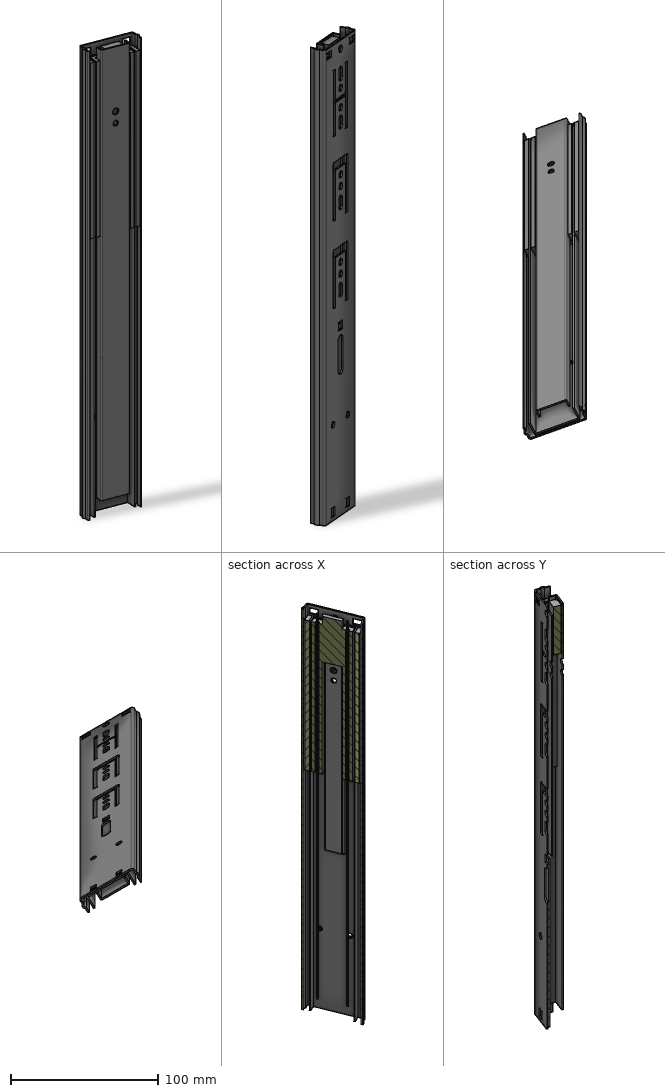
import cadquery as cq
import math


LENGTH = 350.0
THICKNESS = 12.5
WIDTH = 45.0
SHEET = 1.2

BACK = -THICKNESS / 2
FRONT = THICKNESS / 2
TOP = LENGTH / 2
BOTTOM = -LENGTH / 2

BEAD_RISE = 1.0
BEAD_CHORD = 4.2
OUTER_HALF = WIDTH / 2 - BEAD_RISE
OUTER_FRONT = 5.5
OUTER_BEND = 1.8
LIP_ROUNDING = 1.0
BEAD_RADIUS = (BEAD_RISE**2 + (BEAD_CHORD / 2) ** 2) / (2 * BEAD_RISE)
BEAD_Y = WIDTH / 2 - BEAD_RADIUS

MIDDLE_TOP = 166.2
MIDDLE_BOTTOM = -174.0
MIDDLE_BACK = -5.0
MIDDLE_FRONT = 5.2
MIDDLE_HALF = 16.8
MIDDLE_BEND = 1.0
TROUGH_HALF = 7.5
TROUGH_DEPTH = 2.0
TROUGH_SLOPE = 1.5
TROUGH_BOTTOM = -34.3
MIDDLE_HOLE = 4.2
MIDDLE_HOLE_Y = 11.2
MIDDLE_HOLE_DEPTH = MIDDLE_BACK + SHEET - BACK

INNER_TOP = 174.0
INNER_BOTTOM = -162.5
INNER_BACK = 0.5
INNER_HALF = 11.5
INNER_BEND = 1.0

CAGE_BOTTOM = 35.0
CAGE_FRONT = 5.5
OUTER_CAGE_BACK = -4.5
OUTER_CAGE_OUTSIDE = 20.0
RIB_TIP = 21.0
RIB_HALF = 0.7
ARM_INSIDE = 12.2
ARM_OUTSIDE = 15.0
LEG_OUTSIDE = 9.8
SPINE_BACK = -2.8
SPINE_FRONT = 0.0
BLOCK_HALF = 7.5
BLOCK_BACK = -1.5
BLOCK_FRONT = 4.5
BLOCK_TOP = 173.2
BLOCK_BOTTOM = 133.0

HOLE = 5.0
ROUND_HOLES = (168.7, 140.0)
ACCESS_HOLE_Z = 125.5
LOW_ACCESS_HOLE_Z = 117.0
LOW_ACCESS_HOLE = 4.2
ACCESS_SLOT_Z = 114.8
ACCESS_SLOT_LENGTH = 9.8
TAB_SLOT_LENGTH = 10.5
TOP_SLOT_Z = 150.5

DOUBLE_TAB_TOP = 156.0
DOUBLE_TAB_BOTTOM = 107.5
DOUBLE_TAB_GAP_Z = 132.5
DOUBLE_TAB_GAP = 2.0
DOUBLE_TAB_HALF = 9.5

TAB_HALF = 7.0
TAB_TOPS = (88.2, 23.8)
TAB_LENGTH = 43.0
TAB_TIP_GAP = 6.3
TAB_SLIT_HALF = 10.5
TAB_CORNER = 1.8
TAB_HOLE_DROPS = (12.0, 20.5)
TAB_SLOT_DROP = 32.5

CORNER_WINDOW_Y = 15.8
CORNER_WINDOW_Z = 169.8
CORNER_WINDOW_WIDTH = 6.3
CORNER_WINDOW_HEIGHT = 5.0
CENTRE_WINDOW_Z = -35.0
CENTRE_WINDOW_WIDTH = 5.2
CENTRE_WINDOW_HEIGHT = 6.3
LONG_SLOT_Z = -56.5
LONG_SLOT_LENGTH = 28.7
LONG_SLOT_WIDTH = 7.0
SIDE_HOLE_Y = 10.0
SIDE_HOLE_Z = -104.3
SIDE_HOLE = 4.5
LOW_WINDOW_Z = -168.7
LOW_WINDOW_WIDTH = 4.5
LOW_WINDOW_HEIGHT = 6.5

SIDES = (1, -1)


def bar(back, front, y_low, y_high, bottom, top):
    """A rectangular block between the given limits."""
    size = (front - back, y_high - y_low, top - bottom)
    return cq.Workplane("XY").box(*size, centered=False).translate((back, y_low, bottom))


def side_bar(side, back, front, inside, outside, bottom, top):
    """A block on the +Y or -Y side, between two distances from the middle plane."""
    y_low, y_high = sorted((side * inside, side * outside))
    return bar(back, front, y_low, y_high, bottom, top)


def web_cut(shape_sketch, y, z, depth):
    """A cutter running forward from the back face for the given depth; the sketch lies in Y and Z."""
    plane = cq.Plane(origin=(BACK, y, z), xDir=(0, 1, 0), normal=(1, 0, 0))
    return shape_sketch(cq.Workplane(plane)).extrude(depth)


def hole_cut(diameter, y, z, depth=SHEET):
    return web_cut(lambda sketch: sketch.circle(diameter / 2), y, z, depth)


def slot_cut(length, width, z):
    return web_cut(lambda sketch: sketch.slot2D(length, width, 90), 0, z, SHEET)


def window_cut(width, height, y, z):
    return web_cut(lambda sketch: sketch.rect(width, height), y, z, SHEET)


def access_holes():
    """Two screwdriver holes that line up through all three rails."""
    upper = hole_cut(HOLE, 0, ACCESS_HOLE_Z, THICKNESS)
    return upper.union(hole_cut(LOW_ACCESS_HOLE, 0, LOW_ACCESS_HOLE_Z, THICKNESS))


def ball_track(radius):
    """Round bars of the given radius along both flanges of the outer rail."""
    return (
        cq.Workplane("XY", origin=(0, 0, BOTTOM))
        .pushPoints([(0, side * BEAD_Y) for side in SIDES])
        .circle(radius)
        .extrude(LENGTH)
    )


def outer_profile():
    """C-shaped sheet profile with a rounded ball track bulging out of each flange."""
    body = bar(BACK, OUTER_FRONT, -OUTER_HALF, OUTER_HALF, BOTTOM, TOP)
    body = body.edges("|Z and <X").fillet(OUTER_BEND).union(ball_track(BEAD_RADIUS))
    inside_half = OUTER_HALF - SHEET
    channel = bar(BACK + SHEET, OUTER_FRONT, -inside_half, inside_half, BOTTOM, TOP)
    channel = channel.edges("|Z and <X").fillet(OUTER_BEND - SHEET)
    body = body.edges("|Z and >X").fillet(LIP_ROUNDING)
    return body.cut(channel).cut(ball_track(BEAD_RADIUS - SHEET))


def double_tab_slits():
    """An H-shaped slit that leaves two spring tabs tip to tip."""
    middle = (DOUBLE_TAB_TOP + DOUBLE_TAB_BOTTOM) / 2
    height = DOUBLE_TAB_TOP - DOUBLE_TAB_BOTTOM
    slit_width = DOUBLE_TAB_HALF - TAB_HALF
    slits = window_cut(2 * TAB_HALF, DOUBLE_TAB_GAP, 0, DOUBLE_TAB_GAP_Z)
    for side in SIDES:
        slits = slits.union(window_cut(slit_width, height, side * (TAB_HALF + slit_width / 2), middle))
    return slits


def tab_slit(tab_top):
    """A U-shaped slit around one spring tab that is joined to the web at its lower end."""
    opening = window_cut(2 * TAB_SLIT_HALF, TAB_LENGTH, 0, tab_top - TAB_LENGTH / 2)
    opening = opening.edges("|X").fillet(TAB_CORNER)
    tab_height = TAB_LENGTH - TAB_TIP_GAP
    tab = window_cut(2 * TAB_HALF, tab_height, 0, tab_top - TAB_TIP_GAP - tab_height / 2)
    return opening.cut(tab)


def make_outer_rail():
    rail = outer_profile()
    rail = rail.cut(double_tab_slits())
    for z in ROUND_HOLES:
        rail = rail.cut(hole_cut(HOLE, 0, z))
    rail = rail.cut(slot_cut(TAB_SLOT_LENGTH, HOLE, TOP_SLOT_Z))
    rail = rail.cut(slot_cut(ACCESS_SLOT_LENGTH, HOLE, ACCESS_SLOT_Z))
    rail = rail.cut(access_holes())
    for tab_top in TAB_TOPS:
        rail = rail.cut(tab_slit(tab_top))
        for drop in TAB_HOLE_DROPS:
            rail = rail.cut(hole_cut(HOLE, 0, tab_top - drop))
        rail = rail.cut(slot_cut(TAB_SLOT_LENGTH, HOLE, tab_top - TAB_SLOT_DROP))
    rail = rail.cut(window_cut(CENTRE_WINDOW_WIDTH, CENTRE_WINDOW_HEIGHT, 0, CENTRE_WINDOW_Z))
    rail = rail.cut(slot_cut(LONG_SLOT_LENGTH, LONG_SLOT_WIDTH, LONG_SLOT_Z))
    for side in SIDES:
        corner_y = side * CORNER_WINDOW_Y
        rail = rail.cut(window_cut(CORNER_WINDOW_WIDTH, CORNER_WINDOW_HEIGHT, corner_y, CORNER_WINDOW_Z))
        rail = rail.cut(hole_cut(SIDE_HOLE, side * SIDE_HOLE_Y, SIDE_HOLE_Z))
        rail = rail.cut(window_cut(LOW_WINDOW_WIDTH, LOW_WINDOW_HEIGHT, side * SIDE_HOLE_Y, LOW_WINDOW_Z))
    return rail


def trough_cut(mouth_x):
    """Shallow trough with sloping sides and lower end, running out past the top of the middle rail."""
    height = TOP - TROUGH_BOTTOM
    plane = cq.Plane(origin=(mouth_x, 0, TROUGH_BOTTOM + height / 2), xDir=(0, 1, 0), normal=(1, 0, 0))
    slope_angle = math.degrees(math.atan2(TROUGH_SLOPE, TROUGH_DEPTH))
    return cq.Workplane(plane).rect(2 * TROUGH_HALF, height).extrude(TROUGH_DEPTH, taper=slope_angle)


def make_middle_rail():
    """C-shaped sheet profile with a trough pressed into the back of its web."""
    rail = bar(MIDDLE_BACK, MIDDLE_FRONT, -MIDDLE_HALF, MIDDLE_HALF, MIDDLE_BOTTOM, MIDDLE_TOP)
    rail = rail.edges("|Z and <X").fillet(MIDDLE_BEND)
    inside_half = MIDDLE_HALF - SHEET
    channel = bar(MIDDLE_BACK + SHEET, MIDDLE_FRONT, -inside_half, inside_half, MIDDLE_BOTTOM, MIDDLE_TOP)
    channel = channel.cut(trough_cut(MIDDLE_BACK + SHEET))
    rail = rail.cut(channel).cut(trough_cut(MIDDLE_BACK)).cut(access_holes())
    for side in SIDES:
        rail = rail.cut(hole_cut(MIDDLE_HOLE, side * MIDDLE_HOLE_Y, SIDE_HOLE_Z, MIDDLE_HOLE_DEPTH))
    return rail


def make_inner_rail():
    """C-shaped sheet profile that opens towards the other rails."""
    rail = bar(INNER_BACK, FRONT, -INNER_HALF, INNER_HALF, INNER_BOTTOM, INNER_TOP)
    rail = rail.edges("|Z and >X").fillet(INNER_BEND)
    inside_half = INNER_HALF - SHEET
    channel = bar(INNER_BACK, FRONT - SHEET, -inside_half, inside_half, INNER_BOTTOM, INNER_TOP)
    return rail.cut(channel).cut(access_holes())


def make_outer_cage(side):
    """Ball strip between the flanges of the outer and middle rails."""
    ends = (CAGE_BOTTOM, MIDDLE_TOP)
    strip = side_bar(side, OUTER_CAGE_BACK, CAGE_FRONT, MIDDLE_HALF, OUTER_CAGE_OUTSIDE, *ends)
    rib = side_bar(side, -RIB_HALF, RIB_HALF, MIDDLE_HALF, RIB_TIP, *ends)
    return strip.union(rib)


def make_inner_cage():
    """Ball cage around both flanges of the inner rail, joined by a block that ends above the arms."""
    ends = (CAGE_BOTTOM, MIDDLE_TOP)
    cage = bar(BLOCK_BACK, BLOCK_FRONT, -BLOCK_HALF, BLOCK_HALF, BLOCK_BOTTOM, BLOCK_TOP)
    for side in SIDES:
        spine = side_bar(side, SPINE_BACK, SPINE_FRONT, BLOCK_HALF, ARM_OUTSIDE, *ends)
        arm = side_bar(side, SPINE_BACK, CAGE_FRONT, ARM_INSIDE, ARM_OUTSIDE, *ends)
        leg = side_bar(side, SPINE_BACK, BLOCK_FRONT, BLOCK_HALF, LEG_OUTSIDE, *ends)
        cage = cage.union(spine).union(arm).union(leg)
    return cage


outer_rail = make_outer_rail()
middle_rail = make_middle_rail()
inner_rail = make_inner_rail()
outer_cages = [make_outer_cage(side) for side in SIDES]
inner_cage = make_inner_cage()

result = cq.Compound.makeCompound(
    [
        outer_rail.val(),
        middle_rail.val(),
        inner_rail.val(),
        *[cage.val() for cage in outer_cages],
        inner_cage.val(),
    ]
)